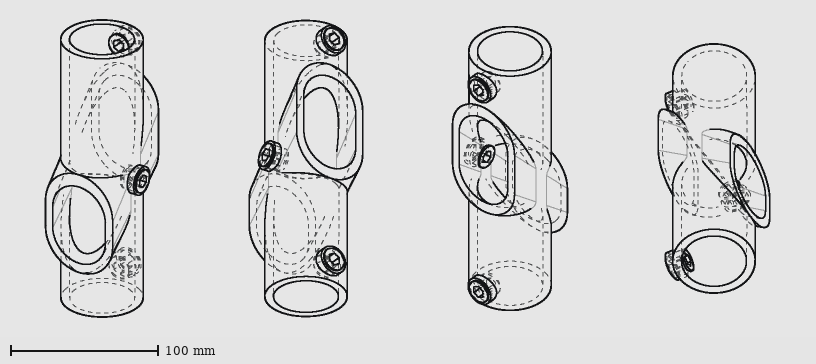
import cadquery as cq
import math

tube_length = 199.0
tube_diameter = 56.1
wall = 6.0
tube_radius = tube_diameter / 2
bore_radius = tube_radius - wall

branch_width = 55.0
branch_front_low = 59.3
branch_front_high = 79.6
branch_back_low = 106.9
branch_back_high = 140.0
branch_bore_width = branch_width - 2 * wall
bore_front_low = 60.5
bore_front_high = 76.2
bore_back_low = 109.0
bore_back_high = 136.7

boss_diameter = 20.0
boss_height = 4.4
boss_reach = tube_radius + boss_height
screw_diameter = 16.3
screw_inner_end = 20.3
screw_outer_end = 33.5
socket_across_flats = 8.0
end_screw_offset = 14.0

screw_places = [
    (end_screw_offset, 90),
    (tube_length / 2, 0),
    (tube_length - end_screw_offset, 90),
]


def slot_wire(y, low, high, width):
    """Upright slot outline in the plane at y, with arc centres at heights low and high."""
    radius = width / 2
    outline = (
        cq.Workplane("XZ", origin=(0, y, 0))
        .moveTo(-radius, low)
        .threePointArc((0, low - radius), (radius, low))
        .lineTo(radius, high)
        .threePointArc((0, high + radius), (-radius, high))
        .close()
    )
    return outline.val()


def sloping_slot(width, front_heights, back_heights):
    """Ruled solid between two slots; each pair of heights is (low, high)."""
    front = slot_wire(-tube_radius, *front_heights, width)
    back = slot_wire(tube_radius, *back_heights, width)
    return cq.Workplane(cq.Solid.makeLoft([front, back], True))


def radial_plane(distance, height, angle):
    """Plane at a distance from the tube axis, facing outward."""
    direction = (math.cos(math.radians(angle)), math.sin(math.radians(angle)), 0)
    origin = (distance * direction[0], distance * direction[1], height)
    return cq.Plane(origin=origin, xDir=(-direction[1], direction[0], 0), normal=direction)


def radial_cylinder(diameter, start, end, height, angle):
    plane = radial_plane(start, height, angle)
    return cq.Workplane(plane).circle(diameter / 2).extrude(end - start)


def make_fitting():
    fitting = cq.Workplane("XY").circle(tube_radius).extrude(tube_length)
    branch = sloping_slot(
        branch_width,
        (branch_front_low, branch_front_high),
        (branch_back_low, branch_back_high),
    )
    branch_bore = sloping_slot(
        branch_bore_width,
        (bore_front_low, bore_front_high),
        (bore_back_low, bore_back_high),
    )
    fitting = fitting.union(branch)
    for height, angle in screw_places:
        fitting = fitting.union(radial_cylinder(boss_diameter, bore_radius, boss_reach, height, angle))
    fitting = fitting.cut(cq.Workplane("XY").circle(bore_radius).extrude(tube_length))
    fitting = fitting.cut(branch_bore)
    for height, angle in screw_places:
        fitting = fitting.cut(
            radial_cylinder(screw_diameter, screw_inner_end, screw_outer_end, height, angle)
        )
    return fitting


def make_screw(height, angle):
    """Set screw with a hexagonal socket running through it, corners at its top and bottom."""
    screw = radial_cylinder(screw_diameter, screw_inner_end, screw_outer_end, height, angle)
    socket = (
        cq.Workplane(radial_plane(screw_inner_end, height, angle))
        .polygon(6, socket_across_flats, circumscribed=True)
        .extrude(screw_outer_end - screw_inner_end)
    )
    return screw.cut(socket)


fitting = make_fitting()
screws = [make_screw(height, angle) for height, angle in screw_places]

result = cq.Compound.makeCompound([fitting.val(), *[screw.val() for screw in screws]])